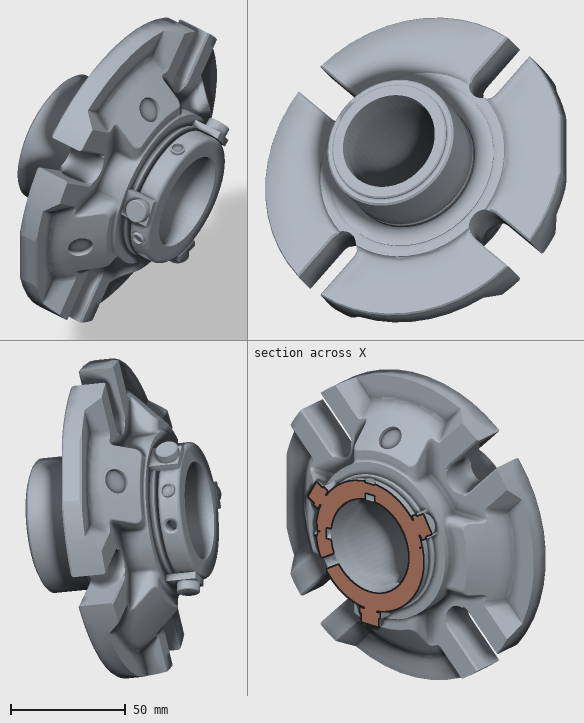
import cadquery as cq
import math


bore_diameter = 43.0
sleeve_tip_diameter = 53.3
seat_diameter = 59.0
seat_groove_diameter = 57.2
seat_start = 1.3
seat_groove_start = 24.0
seat_groove_end = 25.7
tip_chamfer = 0.5
seat_chamfer = 0.8

inner_pilot_diameter = 76.1
inner_pilot_start = 27.8
pilot_diameter = 85.9
pilot_start = 28.2
pilot_fillet = 1.4

flange_diameter = 139.5
flange_start = 29.5
flange_thin_end = 38.8
flange_edge_length = 0.8
flange_edge_drop = 0.5
flat_distance = 68.3
flat_chamfer = 0.8

lug_end = 45.5
lug_base_half_width = 24.1
lug_top_half_width = 17.7
lug_overrun = 2.8
slot_width = 14.2
slot_end_distance = 47.4
slot_chamfer = 0.8

cone_radius_at_lug = 52.3
cone_slope = 0.96
core_radius = 35.7
core_end = 57.9
arm_half_width = 17.3
arm_end = 57.0
short_arm_end = 53.5
arm_edge_fillet = 3.3
arm_rim_fillet = 0.8
arm_root_fillet = 1.7
arm_foot_fillet = 1.5
skirt_fillet = 2.8
port_diameter = 11.0
port_depth = 2.8
side_port_x = 48.8
top_port_x = 51.6

neck_diameter = 60.2
ring_diameter = 61.8
ring_start = 59.1
ring_end = 60.2
ring_chamfer = 0.3
tail_diameter = 49.8
collar_diameter = 60.2
collar_start = 61.4
part_end = 71.3
collar_fillet = 1.8
collar_middle = (collar_start + part_end) / 2

screw_hole_diameter = 5.0
screw_sink_diameter = 7.5
screw_sink_depth = 0.8
screw_hole_angles = (0, 90, 120)
set_screw_diameter = 6.0
set_screw_top = 31.1
set_screw_edge = 0.4
set_screw_overlap = 0.7
socket_diameter = 5.0
socket_depth = 1.7
set_screw_angles = (0, 90)

clip_width = 11.7
clip_inner = 30.0
clip_outer = 33.0
clip_angles = (60, 180, 300)
clip_screw_diameter = 10.0
clip_screw_height = 4.2
clip_screw_edge = 0.4

flange_radius = flange_diameter / 2
arm_angles = (0, 90, 180, 270)
slot_angles = (45, 135, 225, 315)
short_arm_angle = 270
hub_blank_diameter = 1.1 * flange_diameter


def revolved(profile):
    """Solid of revolution about X from (x, radius) points."""
    return cq.Workplane("XY").polyline(profile).close().revolve(360, (0, 0, 0), (1, 0, 0))


def tube(start, end, diameter):
    """Solid cylinder on the X axis."""
    return cq.Workplane("YZ", origin=(start, 0, 0)).circle(diameter / 2).extrude(end - start)


def turned(solid, angle):
    """Turn a feature built along +Z about X; 90 degrees takes it to -Y."""
    return solid.rotate((0, 0, 0), (1, 0, 0), angle)


def cone_radius(x):
    return cone_radius_at_lug - (x - lug_end) * cone_slope


def make_sleeve():
    tip_radius = sleeve_tip_diameter / 2
    seat_radius = seat_diameter / 2
    groove_radius = seat_groove_diameter / 2
    return revolved([
        (0, 0),
        (0, tip_radius - tip_chamfer),
        (tip_chamfer, tip_radius),
        (seat_start, tip_radius),
        (seat_start, seat_radius - seat_chamfer),
        (seat_start + seat_chamfer, seat_radius),
        (seat_groove_start, seat_radius),
        (seat_groove_start, groove_radius),
        (seat_groove_end, groove_radius),
        (seat_groove_end, seat_radius),
        (flange_start, seat_radius),
        (flange_start, 0),
    ])


def make_cone():
    return revolved([
        (flange_thin_end, 0),
        (flange_thin_end, cone_radius(flange_thin_end)),
        (core_end, cone_radius(core_end)),
        (core_end, 0),
    ])


def make_lugs(top):
    """Lugs astride each slot, with sloping sides parallel to it, reaching past the rim."""
    lug_slope = (lug_base_half_width - lug_top_half_width) / (lug_end - flange_thin_end)
    top_half_width = lug_base_half_width - (top - flange_thin_end) * lug_slope
    lug_profile = [
        (flange_thin_end, -lug_base_half_width),
        (flange_thin_end, lug_base_half_width),
        (top, top_half_width),
        (top, -top_half_width),
    ]
    lug = cq.Workplane("XY").polyline(lug_profile).close().extrude(flange_diameter)
    lugs = turned(lug, slot_angles[0])
    for angle in slot_angles[1:]:
        lugs = lugs.union(turned(lug, angle))
    return lugs


def make_flange():
    """Flange with its lugs and the filleted foot of the hub cone.

    The lugs are first left too tall, so that the fillets end clear of their finished tops.
    """
    rough_end = lug_end + lug_overrun
    pilot_radius = pilot_diameter / 2
    fillet_radius = pilot_radius + pilot_fillet
    arc_inset = pilot_fillet * (1 - math.sqrt(0.5))
    flange = (
        cq.Workplane("XY")
        .moveTo(inner_pilot_start, 0)
        .lineTo(inner_pilot_start, inner_pilot_diameter / 2)
        .lineTo(pilot_start, inner_pilot_diameter / 2)
        .lineTo(pilot_start, pilot_radius)
        .threePointArc((flange_start - arc_inset, pilot_radius + arc_inset), (flange_start, fillet_radius))
        .lineTo(flange_start, flange_radius - flange_edge_drop)
        .lineTo(flange_start + flange_edge_length, flange_radius)
        .lineTo(rough_end, flange_radius)
        .lineTo(rough_end, 0)
        .close()
        .revolve(360, (0, 0, 0), (1, 0, 0))
    )
    recesses = tube(flange_thin_end, rough_end, 2 * flange_diameter).cut(make_lugs(rough_end))
    flange = flange.cut(recesses)

    thickness = flange_thin_end - flange_start
    beyond_flat = cq.Workplane("XY").box(thickness, flange_radius, flange_diameter).translate(
        (flange_start + thickness / 2, -flat_distance - flange_radius / 2, 0)
    )
    flange = flange.cut(beyond_flat)
    flange = flange.faces("<Y").edges("|Z").chamfer(flat_chamfer)

    flange = flange.union(make_cone())
    foot_reach = cone_radius(flange_thin_end)
    cone_foot = cq.selectors.BoxSelector(
        (flange_thin_end - 0.1, -foot_reach, -foot_reach),
        (rough_end - 0.1, foot_reach, foot_reach),
    )
    flange = flange.edges(cone_foot).fillet(skirt_fillet)
    return flange.intersect(tube(0, lug_end, 2 * flange_diameter))


def make_arm(end):
    """Untrimmed arm along +Z with its long outer edges rounded."""
    arm = cq.Workplane("XY").box(
        end - flange_thin_end, 2 * arm_half_width, flange_radius, centered=(False, True, False)
    ).translate((flange_thin_end, 0, 0))
    return arm.faces(">X").edges("|Z").fillet(arm_edge_fillet)


def make_hub():
    """Core and arms, filleted where they meet, trimmed by a cone; the core is left long until then."""
    hub = tube(flange_thin_end, lug_end, hub_blank_diameter)
    hub = hub.union(tube(flange_thin_end, part_end, 2 * core_radius))
    for angle in arm_angles:
        end = short_arm_end if angle == short_arm_angle else arm_end
        hub = hub.union(turned(make_arm(end), angle))
    root_edges = cq.selectors.BoxSelector(
        (lug_end, -core_radius, -core_radius),
        (arm_end - arm_edge_fillet, core_radius, core_radius),
    )
    hub = hub.edges("|X").edges(root_edges).fillet(arm_root_fillet)
    foot_reach = hub_blank_diameter / 3
    foot_edges = hub.edges(cq.selectors.BoxSelector(
        (lug_end - 0.1, -foot_reach, -foot_reach),
        (lug_end + 0.1, foot_reach, foot_reach),
    ))
    hub = foot_edges.fillet(arm_foot_fillet)
    hub = hub.intersect(make_cone())
    return hub.edges("%HYPERBOLA").fillet(arm_rim_fillet)


def slot_outline(x, half_width):
    """Slot outline along +Z with a round inner end, drawn at the given x."""
    return (
        cq.Workplane("YZ", origin=(x, 0, 0))
        .moveTo(-half_width, flange_diameter)
        .lineTo(-half_width, slot_end_distance)
        .threePointArc((0, slot_end_distance - half_width), (half_width, slot_end_distance))
        .lineTo(half_width, flange_diameter)
        .close()
    )


def make_slot():
    """Open bolt slot, bevelled at both flange faces outside the pilot."""
    half_width = slot_width / 2
    bevel_half_width = half_width + slot_chamfer
    front_bevel = slot_outline(flange_start, bevel_half_width).extrude(slot_chamfer, taper=45)
    back_bevel = slot_outline(lug_end, bevel_half_width).extrude(-slot_chamfer, taper=45)
    pilot = tube(0, part_end, pilot_diameter + 2 * pilot_fillet)
    slot = slot_outline(inner_pilot_start, half_width).extrude(lug_end - inner_pilot_start)
    return slot.union(front_bevel.union(back_bevel).cut(pilot))


def make_port(x):
    """Blind port square to the hub cone on the +Z arm."""
    lean = math.atan(cone_slope)
    normal = (math.sin(lean), 0, math.cos(lean))
    plane = cq.Plane(origin=(x, 0, cone_radius(x)), xDir=(0, 1, 0), normal=normal)
    return cq.Workplane(plane).circle(port_diameter / 2).extrude(port_depth, both=True)


def make_screw_hole():
    """Countersunk hole from the +Z side of the collar into the bore."""
    surface = cq.Workplane("XY", origin=(collar_middle, 0, collar_diameter / 2))
    hole = surface.circle(screw_hole_diameter / 2).extrude((bore_diameter - collar_diameter) / 2)
    sink = (
        surface.circle(screw_sink_diameter / 2)
        .workplane(offset=-screw_sink_depth)
        .circle(screw_hole_diameter / 2)
        .loft()
    )
    return hole.union(sink)


def make_set_screw():
    """Socketed set screw filling a collar hole on the +Z side and standing slightly proud."""
    return (
        cq.Workplane("XY", origin=(collar_middle, 0, tail_diameter / 2 - set_screw_overlap))
        .circle(set_screw_diameter / 2)
        .extrude(set_screw_top - tail_diameter / 2 + set_screw_overlap)
        .faces(">Z")
        .chamfer(set_screw_edge)
        .faces(">Z")
        .workplane()
        .hole(socket_diameter, socket_depth)
    )


def make_drive_end():
    neck = tube(core_end, ring_start, neck_diameter)
    ring = tube(ring_start, ring_end, ring_diameter).edges().chamfer(ring_chamfer)
    tail = tube(ring_end, collar_start, tail_diameter)
    collar = tube(collar_start, part_end, collar_diameter).edges().fillet(collar_fillet)
    drive_end = neck.union(ring).union(tail).union(collar)
    for angle in screw_hole_angles:
        drive_end = drive_end.cut(turned(make_screw_hole(), angle))
    for angle in set_screw_angles:
        drive_end = drive_end.union(turned(make_set_screw(), angle))
    return drive_end


def make_clip():
    """Setting clip on the +Z side with its round screw head."""
    plate = cq.Workplane("XY").box(
        part_end - core_end, clip_width, clip_outer - clip_inner, centered=(False, True, False)
    ).translate((core_end, 0, clip_inner))
    head = (
        cq.Workplane("XY", origin=(part_end - clip_screw_diameter / 2, 0, clip_outer))
        .circle(clip_screw_diameter / 2)
        .extrude(clip_screw_height)
        .faces(">Z")
        .chamfer(clip_screw_edge)
    )
    return plate.union(head)


body = make_flange().union(make_hub())
for slot_angle in slot_angles:
    body = body.cut(turned(make_slot(), slot_angle))
body = body.cut(turned(make_port(top_port_x), 0))
body = body.cut(turned(make_port(side_port_x), 90))

body = body.union(make_sleeve()).union(make_drive_end())
for clip_angle in clip_angles:
    body = body.union(turned(make_clip(), clip_angle))

result = body.cut(tube(0, part_end, bore_diameter))